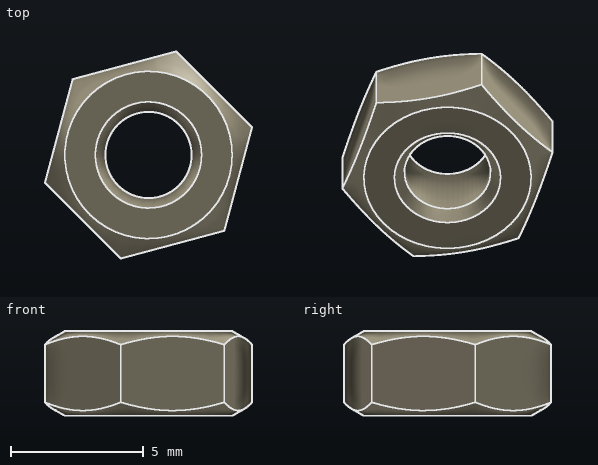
import cadquery as cq
import math

height = 3.2
across_flats = 7.0
hex_rotation = 15.0
hole_diameter = 3.24
countersink_diameter = 4.0
countersink_depth = (countersink_diameter - hole_diameter) / 2
face_diameter = 6.3
corner_chamfer_angle = 30.0

envelope_clearance = 0.4

side_count = 6
across_corners = across_flats / math.cos(math.pi / side_count)
half_height = height / 2


def hexagon_body():
    prism = cq.Workplane("XY").polygon(side_count, across_corners).extrude(half_height, both=True)
    return prism.rotate((0, 0, 0), (0, 0, 1), hex_rotation)


def corner_chamfer_envelope():
    """Turned double cone that trims the hexagon corners at both ends."""
    face_radius = face_diameter / 2
    outer_radius = across_corners / 2 + envelope_clearance
    cone_drop = (outer_radius - face_radius) * math.tan(math.radians(corner_chamfer_angle))
    shoulder = half_height - cone_drop
    profile = [
        (0, -half_height),
        (face_radius, -half_height),
        (outer_radius, -shoulder),
        (outer_radius, shoulder),
        (face_radius, half_height),
        (0, half_height),
    ]
    return cq.Workplane("XZ").polyline(profile).close().revolve(360, (0, 0, 0), (0, 1, 0))


def countersunk_bore():
    """Turned through bore that flares out at both end faces."""
    hole_radius = hole_diameter / 2
    flare_radius = countersink_diameter / 2
    flare_start = half_height - countersink_depth
    profile = [
        (0, -half_height),
        (flare_radius, -half_height),
        (hole_radius, -flare_start),
        (hole_radius, flare_start),
        (flare_radius, half_height),
        (0, half_height),
    ]
    return cq.Workplane("XZ").polyline(profile).close().revolve(360, (0, 0, 0), (0, 1, 0))


result = hexagon_body().intersect(corner_chamfer_envelope()).cut(countersunk_bore())